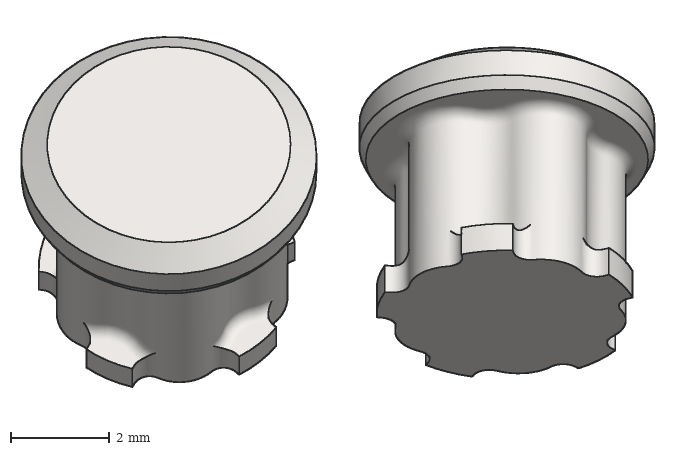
import cadquery as cq
import math

head_radius = 3.0
total_height = 4.84
top_bevel_height = 0.37
top_face_radius = 2.47
rim_height = 0.575
bottom_bevel_height = 0.265
bottom_bevel_width = 0.13
rim_bottom = total_height - top_bevel_height - rim_height
head_bottom = rim_bottom - bottom_bevel_height

lobe_count = 5
lobe_pitch = 360 / lobe_count
lobe_radius = 0.93
lobe_distance = 1.505
valley_radius = 0.87
first_lobe_angle = 90
neck_fillet = 0.25

first_tab_angle = first_lobe_angle + lobe_pitch / 2
tab_outer_radius = 2.645
tab_width = 1.055
tab_height = 0.625
tab_fillet = 0.25
tab_flare_radius = 0.35

stem_reach = lobe_distance + lobe_radius
pick_margin = 0.005


def polar(radius, degrees):
    angle = math.radians(degrees)
    return (radius * math.cos(angle), radius * math.sin(angle))


def between(start, end, fraction):
    return tuple(a + (b - a) * fraction for a, b in zip(start, end))


def make_head():
    return (
        cq.Workplane("XZ")
        .moveTo(0, head_bottom)
        .lineTo(head_radius - bottom_bevel_width, head_bottom)
        .lineTo(head_radius, rim_bottom)
        .lineTo(head_radius, rim_bottom + rim_height)
        .lineTo(top_face_radius, total_height)
        .lineTo(0, total_height)
        .close()
        .revolve(360, (0, 0), (0, 1))
    )


def make_stem():
    """Extrude the lobed outline, whose arcs meet tangentially."""
    half_pitch = math.radians(lobe_pitch / 2)
    half_spacing = lobe_distance * math.sin(half_pitch)
    valley_center = lobe_distance * math.cos(half_pitch) + math.sqrt(
        (lobe_radius + valley_radius) ** 2 - half_spacing**2
    )
    blend = lobe_radius / (lobe_radius + valley_radius)

    start = between(
        polar(lobe_distance, first_lobe_angle),
        polar(valley_center, first_lobe_angle - lobe_pitch / 2),
        blend,
    )
    outline = cq.Workplane("XY").moveTo(*start)
    for index in range(lobe_count):
        lobe_angle = first_lobe_angle + index * lobe_pitch
        valley_angle = lobe_angle + lobe_pitch / 2
        valley_point = polar(valley_center, valley_angle)
        lobe_end = between(polar(lobe_distance, lobe_angle), valley_point, blend)
        next_lobe = polar(lobe_distance, lobe_angle + lobe_pitch)
        valley_end = between(next_lobe, valley_point, blend)
        outline = outline.threePointArc(polar(stem_reach, lobe_angle), lobe_end)
        outline = outline.threePointArc(polar(valley_center - valley_radius, valley_angle), valley_end)
    return outline.close().extrude(head_bottom)


def stem_edges_at(height):
    """Select the level edges that follow the stem outline at the given height."""
    reach = stem_reach + pick_margin
    return cq.selectors.BoxSelector(
        (-reach, -reach, height - pick_margin),
        (reach, reach, height + pick_margin),
        boundingbox=True,
    )


def make_flanged_stem():
    """Stem with a full foot flange, filleted where the flange top meets the stem."""
    flange = cq.Workplane("XY").circle(tab_outer_radius).extrude(tab_height)
    return make_stem().union(flange).edges(stem_edges_at(tab_height)).fillet(tab_fillet)


def make_tab_footprint():
    """Stem with straight-sided spokes whose flanks flare into the lobes."""
    footprint = make_stem()
    for index in range(lobe_count):
        spoke = (
            cq.Workplane("XY")
            .rect(head_radius, tab_width)
            .extrude(head_bottom)
            .translate((head_radius / 2, 0, 0))
            .rotate((0, 0, 0), (0, 0, 1), first_tab_angle + index * lobe_pitch)
        )
        footprint = footprint.union(spoke)
    flanks = footprint.edges("|Z").filter(
        lambda edge: math.hypot(edge.Center().x, edge.Center().y) < stem_reach - pick_margin
    )
    return flanks.fillet(tab_flare_radius)


foot_and_stem = make_flanged_stem().intersect(make_tab_footprint())
result = make_head().union(foot_and_stem)
result = result.edges(stem_edges_at(head_bottom)).fillet(neck_fillet)